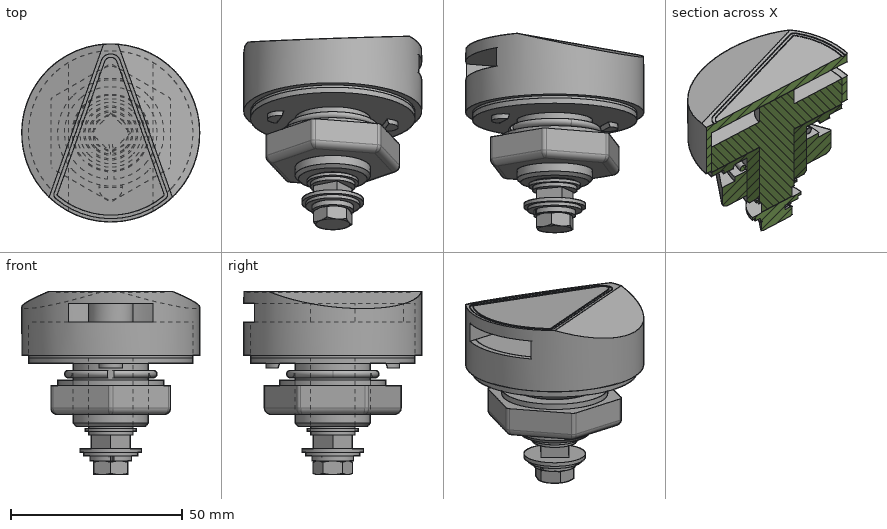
import cadquery as cq
import math


knob_radius = 26.0
knob_bottom = 2.3
knob_top = 21.0
knob_wall = 2.0

pointer_rear_half_width = 2.1
pointer_front_half_width = 18.0
flank_slope = 18.2

groove_inset = 1.0
groove_width = 1.0
groove_depth = 0.3
groove_nose_radius = 2.9
groove_corner_radius = 1.5

slot_width = 24.6
slot_bottom = 12.0
slot_top = 17.5

shaft_radius = 6.5
shaft_round_end = -21.0
square_side = 8.1
square_end = -24.9

clip_radius = 7.5
clip_top = -19.0
clip_thickness = 0.9

flange_thickness = 1.6
neck_radius = 11.0
neck_end = -18.5
neck_chamfer = 1.0
pin_radius = 3.5
pin_y = 16.0
pin_root_y = 15.5
pin_tip_y = 15.95
pin_height = 1.4

ring_wire_radius = 1.1
ring_radius = 12.4
ring_z = -3.15
ring_gap = 2.0

nut_flange_radius = 15.5
nut_flange_top = -4.9
nut_flange_thickness = 1.6
nut_across_flats = 35.0
nut_height = 8.5
nut_edge_radius = 1.3
nut_rim_radius = 2.0

screw_across_flats = 10.0
screw_head_height = 4.0
screw_head_chamfer = 0.4
screw_head_chamfer_width = 0.8
plain_washer_radius = 9.0
plain_washer_thickness = 1.1
small_washer_radius = 7.9
small_washer_thickness = 1.0
spring_washer_radius = 6.1
spring_washer_thickness = 1.5
split_width = 0.95
split_depth = 2.9
split_angle = 10.5

bore_radius = knob_radius - knob_wall
rear_rim_y = math.sqrt(knob_radius**2 - pointer_rear_half_width**2)
front_rim_y = -math.sqrt(knob_radius**2 - pointer_front_half_width**2)
pointer_half_angle = math.atan2(
    pointer_front_half_width - pointer_rear_half_width, rear_rim_y - front_rim_y
)
pointer_apex_y = rear_rim_y + pointer_rear_half_width / math.tan(pointer_half_angle)
nut_top = nut_flange_top - nut_flange_thickness
nut_bottom = nut_top - nut_height

def disc(radius, bottom, top):
    return cq.Workplane("XY").workplane(offset=bottom).circle(radius).extrude(top - bottom)

def hexagon(across_flats, bottom, top):
    """Hexagonal prism with two corners on the Y axis."""
    across_corners = across_flats / math.cos(math.pi / 6)
    prism = cq.Workplane("XY").polygon(6, across_corners).extrude(top - bottom)
    return prism.rotate((0, 0, 0), (0, 0, 1), 90).translate((0, 0, bottom))

def pointer_sector(inset, nose_radius, corner_radius):
    """Pointer-shaped block under the knob top, set in from the ridge edges and the rim."""
    apex_y = pointer_apex_y - inset / math.sin(pointer_half_angle)
    base_y = -2 * knob_radius
    base_half_width = (apex_y - base_y) * math.tan(pointer_half_angle)
    bottom = knob_top - groove_depth
    wedge = (
        cq.Workplane("XY").workplane(offset=bottom)
        .polyline([(0, apex_y), (-base_half_width, base_y), (base_half_width, base_y)]).close()
        .extrude(groove_depth)
        .edges("|Z and >Y").fillet(nose_radius)
    )
    sector = wedge.intersect(disc(knob_radius - inset, bottom, knob_top))
    return sector.edges("|Z and <X or |Z and >X").fillet(corner_radius)

def flank_cutter():
    """Wedge above the sloping flank on the +X side of the pointer."""
    reach = 2 * knob_radius
    drop = reach * math.tan(math.radians(flank_slope))
    return (
        cq.Workplane("XZ")
        .polyline([(0, 0), (reach, 0), (reach, -drop)]).close()
        .extrude(2 * reach, both=True)
        .rotate((0, 0, 0), (0, 0, 1), math.degrees(pointer_half_angle))
        .translate((0, pointer_apex_y, knob_top))
    )

knob = disc(knob_radius, knob_bottom, knob_top).cut(disc(bore_radius, knob_bottom, slot_bottom))
knob = knob.cut(flank_cutter()).cut(flank_cutter().mirror("YZ"))
slot_half_width = slot_width / 2
slot_back_y = math.sqrt(bore_radius**2 - slot_half_width**2)
slot = (
    cq.Workplane("XY").workplane(offset=slot_bottom)
    .moveTo(-slot_half_width, -knob_radius)
    .lineTo(slot_half_width, -knob_radius)
    .lineTo(slot_half_width, slot_back_y)
    .threePointArc((0, bore_radius), (-slot_half_width, slot_back_y))
    .close()
    .extrude(slot_top - slot_bottom)
)
knob = knob.cut(slot)
groove_outside = pointer_sector(groove_inset, groove_nose_radius, groove_corner_radius)
groove_inside = pointer_sector(
    groove_inset + groove_width,
    groove_nose_radius - groove_width,
    groove_corner_radius - groove_width,
)
knob = knob.cut(groove_outside.cut(groove_inside))

rotor = disc(bore_radius, flange_thickness, slot_bottom)
rotor = rotor.union(disc(shaft_radius, shaft_round_end, slot_top))
drive_square = (
    cq.Workplane("XY").workplane(offset=square_end)
    .rect(square_side, square_side).extrude(shaft_round_end - square_end)
    .rotate((0, 0, 0), (0, 0, 1), 45)
)
rotor = rotor.union(drive_square)

neck = disc(neck_radius, neck_end, 0).faces("<Z").chamfer(neck_chamfer)
bushing = disc(bore_radius, 0, flange_thickness).union(neck)
pin_body = cq.Workplane("XY").center(0, pin_y).circle(pin_radius).extrude(-pin_height)
pin_outside = (
    cq.Workplane("YZ")
    .polyline([
        (pin_root_y, 0),
        (pin_tip_y, -pin_height),
        (bore_radius, -pin_height),
        (bore_radius, 0),
    ]).close()
    .extrude(pin_radius, both=True)
)
pin = pin_body.intersect(pin_outside)
for angle in (0, 180):
    bushing = bushing.union(pin.rotate((0, 0, 0), (0, 0, 1), angle))
bushing = bushing.cut(disc(shaft_radius, neck_end, flange_thickness))

ring = cq.Workplane("XZ").center(ring_radius, ring_z).circle(ring_wire_radius)
ring = ring.revolve(360, (-ring_radius, 0, 0), (-ring_radius, 1, 0))
gap = cq.Workplane("XY").box(ring_gap, 2 * ring_radius, 4 * ring_wire_radius)
ring = ring.cut(gap.translate((0, -ring_radius, ring_z)))

nut = (
    hexagon(nut_across_flats, nut_bottom, nut_top)
    .edges("|Z").fillet(nut_edge_radius)
    .faces("<Z").edges().fillet(nut_rim_radius)
    .union(disc(nut_flange_radius, nut_top, nut_flange_top))
    .cut(disc(neck_radius, nut_bottom, nut_flange_top))
)

clip_bottom = clip_top - clip_thickness
clip = disc(clip_radius, clip_bottom, clip_top).cut(disc(shaft_radius, clip_bottom, clip_top))

plain_bottom = square_end - plain_washer_thickness
small_bottom = plain_bottom - small_washer_thickness
spring_bottom = small_bottom - spring_washer_thickness
head_bottom = spring_bottom - screw_head_height

spring_washer = disc(spring_washer_radius, spring_bottom, small_bottom)
split = (
    cq.Workplane("XY")
    .box(split_width, 2 * split_depth, spring_washer_thickness, centered=(False, True, False))
    .rotate((0, 0, 0), (0, 0, 1), split_angle)
    .translate((0, -spring_washer_radius, spring_bottom))
)
spring_washer = spring_washer.cut(split)

head_corner_radius = screw_across_flats / 2 / math.cos(math.pi / 6)
head_blank = (
    disc(head_corner_radius, head_bottom, spring_bottom)
    .edges().chamfer(screw_head_chamfer, screw_head_chamfer_width)
)
screw = hexagon(screw_across_flats, head_bottom, spring_bottom).intersect(head_blank)
screw = screw.union(spring_washer)
screw = screw.union(disc(small_washer_radius, small_bottom, plain_bottom))
screw = screw.union(disc(plain_washer_radius, plain_bottom, square_end))

result = cq.Compound.makeCompound([
    knob.val(), rotor.val(), bushing.val(), ring.val(), nut.val(), clip.val(), screw.val()
])